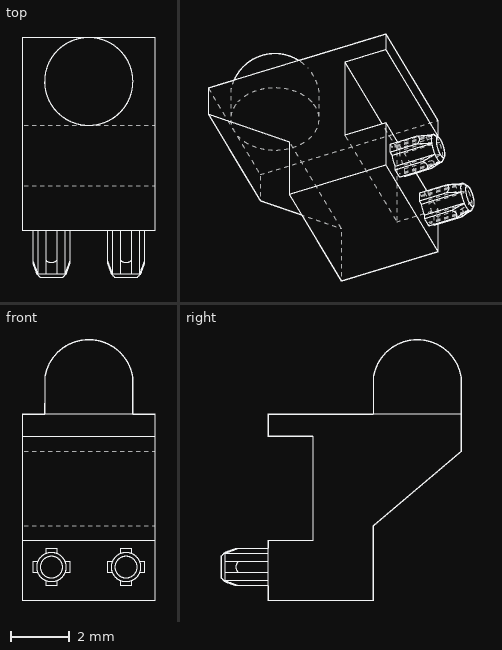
import cadquery as cq
import math


body_width = 4.52
body_depth = 6.58
body_height = 6.35
foot_depth = 3.58
foot_height = 2.05
recess_depth = 1.52
top_plate_thickness = 0.76
slope_bottom_z = 2.54
rear_face_height = 1.27

lens_radius = 1.5
lens_barrel_height = 1.27
lens_dome_height = 1.27
lens_y = body_depth - lens_radius

peg_spacing = 2.54
peg_z = 1.14
peg_length = 1.60
peg_core_radius = 0.50
peg_tip_chamfer = 0.127
rib_span = 1.27
rib_thickness = 0.38
rib_taper_length = 0.38


def make_body():
    """Side profile in the YZ plane, extruded symmetrically across the width."""
    outline = [
        (0, 0),
        (foot_depth, 0),
        (foot_depth, slope_bottom_z),
        (body_depth, body_height - rear_face_height),
        (body_depth, body_height),
        (0, body_height),
        (0, body_height - top_plate_thickness),
        (recess_depth, body_height - top_plate_thickness),
        (recess_depth, foot_height),
        (0, foot_height),
    ]
    return cq.Workplane("YZ").polyline(outline).close().extrude(body_width / 2, both=True)


def make_lens():
    """Round barrel closed by a shallow spherical cap, revolved about its vertical axis."""
    barrel_top = lens_barrel_height
    lens_top = barrel_top + lens_dome_height
    dome_radius = (lens_radius**2 + lens_dome_height**2) / (2 * lens_dome_height)
    dome_center_z = lens_top - dome_radius
    half_angle = math.acos((barrel_top - dome_center_z) / dome_radius) / 2
    dome_middle = (
        dome_radius * math.sin(half_angle),
        dome_center_z + dome_radius * math.cos(half_angle),
    )
    lens = (
        cq.Workplane("XZ")
        .moveTo(0, 0)
        .lineTo(lens_radius, 0)
        .lineTo(lens_radius, barrel_top)
        .threePointArc(dome_middle, (0, lens_top))
        .close()
        .revolve(360, (0, 0), (0, 1))
    )
    return lens.translate((0, lens_y, body_height))


def make_peg(x):
    """Round core with four ribs whose front ends taper conically down to the core."""
    shoulder = peg_length - peg_tip_chamfer
    tip_radius = peg_core_radius - peg_tip_chamfer
    core = (
        cq.Workplane("XY")
        .circle(peg_core_radius)
        .extrude(peg_length)
        .faces(">Z")
        .chamfer(peg_tip_chamfer)
    )
    ribs = (
        cq.Workplane("XY")
        .rect(rib_span, rib_thickness)
        .extrude(peg_length)
        .union(cq.Workplane("XY").rect(rib_thickness, rib_span).extrude(peg_length))
    )
    taper_slope = (rib_span / 2 - peg_core_radius) / rib_taper_length
    envelope_radius = rib_span
    envelope_start = shoulder - (envelope_radius - peg_core_radius) / taper_slope
    envelope = (
        cq.Workplane("XZ")
        .polyline([
            (0, envelope_start),
            (envelope_radius, envelope_start),
            (peg_core_radius, shoulder),
            (tip_radius, peg_length),
            (0, peg_length),
        ])
        .close()
        .revolve(360, (0, 0), (0, 1))
    )
    peg = core.union(ribs.intersect(envelope))
    return peg.rotate((0, 0, 0), (1, 0, 0), 90).translate((x, 0, peg_z))


result = make_body().union(make_lens())
for side in (-1, 1):
    result = result.union(make_peg(side * peg_spacing / 2))